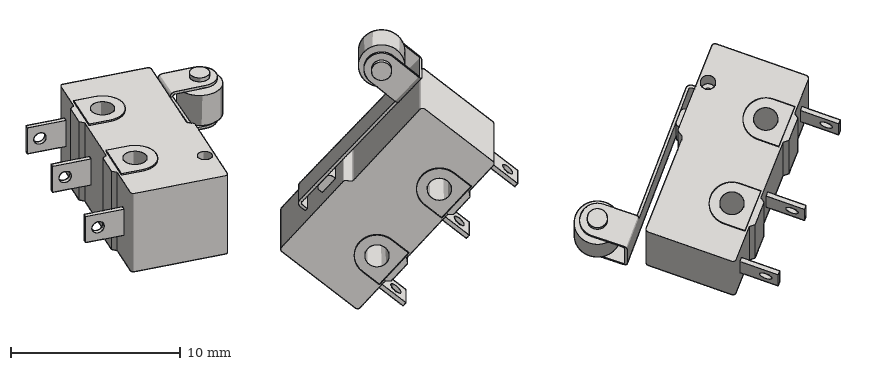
import cadquery as cq
import math


overall_length = 13.84
overall_thickness = 5.75

housing_length = 12.58
housing_thickness = 5.54
low_top = 5.69
high_top = 6.1
step_start = 6.37
step_run = 0.26
corner_radius = 0.21

mount_x_positions = (3.4, 9.1)
mount_y = 1.47
mount_hole_diameter = 1.44
pad_width = 2.7
pad_bottom = 0.14
foot_base_width = 1.97
foot_tip_width = 1.5
foot_height = 0.28

hinge_x = 10.12
hinge_y = 5.5
hinge_hole_diameter = 0.9
hinge_hole_depth = 1.38
hinge_center_diameter = 0.36
hinge_center_depth = 0.28

plunger_x = 8.04
plunger_width = 1.2
plunger_thickness = 2.41
plunger_top = 6.59
plunger_radius = 0.26

terminal_x_positions = (0.95, 5.38, 11.17)
terminal_thickness = 0.28
terminal_width = 1.84
terminal_length = 2.42
terminal_hole_diameter = 0.78
terminal_hole_drop = 1.63

roller_diameter = 2.75
roller_width = 2.12
roller_x = housing_length - overall_length + roller_diameter / 2
axle_diameter = 1.2
axle_length = 3.6

lever_tilt = 0.85
sheet = 0.18
strip_width = 2.41
bend_inner_radius = 0.14
bend_outer_radius = bend_inner_radius + sheet
strip_top = 1.31
bent_end = high_top - hinge_y - sheet
arm_width = 2.1
fork_width = strip_width + 2 * bend_outer_radius
axle_y = 3.39
tilt = math.radians(lever_tilt)
axle_x = (roller_x - hinge_x + axle_y * math.sin(tilt)) / math.cos(tilt)


def centered_extrude(outline, thickness):
    """Extrude an XY outline equally to both sides of the mid-plane."""
    return outline.extrude(thickness / 2, both=True)


def cylinder(x, y, diameter, length):
    """Cylinder along Z, centred on the mid-plane."""
    return centered_extrude(cq.Workplane("XY").center(x, y).circle(diameter / 2), length)


def round_topped_slab(x, bottom, arc_y, width, thickness):
    """Slab centred on x, with a flat bottom and a half-round top about (x, arc_y)."""
    radius = width / 2
    outline = (
        cq.Workplane("XY")
        .moveTo(x - radius, bottom)
        .lineTo(x + radius, bottom)
        .lineTo(x + radius, arc_y)
        .threePointArc((x, arc_y + radius), (x - radius, arc_y))
        .close()
    )
    return centered_extrude(outline, thickness)


def make_housing_block():
    outline = cq.Workplane("XY").polyline([
        (0, 0),
        (housing_length, 0),
        (housing_length, high_top),
        (step_start + step_run, high_top),
        (step_start, low_top),
        (0, low_top),
    ]).close()
    return centered_extrude(outline, housing_thickness).edges("|Z").fillet(corner_radius)


def make_foot(x):
    outline = cq.Workplane("XY").polyline([
        (x - foot_base_width / 2, 0),
        (x - foot_tip_width / 2, -foot_height),
        (x + foot_tip_width / 2, -foot_height),
        (x + foot_base_width / 2, 0),
    ]).close()
    return centered_extrude(outline, housing_thickness)


def make_pads(x):
    """One slab through the housing whose ends stand proud as the two pads."""
    return round_topped_slab(x, pad_bottom, mount_y, pad_width, overall_thickness)


def cut_hinge_hole(housing):
    top = cq.Workplane("XY", origin=(hinge_x, hinge_y, housing_thickness / 2))
    hole = top.circle(hinge_hole_diameter / 2).extrude(-hinge_hole_depth)
    center = top.circle(hinge_center_diameter / 2).extrude(-hinge_hole_depth - hinge_center_depth)
    return housing.cut(hole).cut(center)


def make_plunger():
    height = plunger_top - high_top
    return (
        cq.Workplane("XY")
        .box(plunger_width, height, plunger_thickness)
        .translate((plunger_x, high_top + height / 2, 0))
        .edges("|Z and >Y")
        .fillet(plunger_radius)
    )


def make_housing():
    housing = make_housing_block()
    for x in mount_x_positions:
        housing = housing.union(make_foot(x)).union(make_pads(x))
    for x in mount_x_positions:
        housing = housing.cut(cylinder(x, mount_y, mount_hole_diameter, overall_thickness))
    return cut_hinge_hole(housing).union(make_plunger())


def make_terminal(x):
    hole = (
        cq.Workplane("YZ")
        .center(-terminal_hole_drop, 0)
        .circle(terminal_hole_diameter / 2)
        .extrude(terminal_thickness, both=True)
    )
    return (
        cq.Workplane("XY")
        .box(terminal_thickness, terminal_length, terminal_width)
        .translate((0, -terminal_length / 2, 0))
        .cut(hole)
        .translate((x, 0, 0))
    )


def make_strip():
    """Flat strip with its hinge end bent down towards the hinge axis."""
    outline = (
        cq.Workplane("XY")
        .moveTo(axle_x, strip_top)
        .lineTo(sheet / 2 - bend_outer_radius, strip_top)
        .radiusArc((sheet / 2, strip_top - bend_outer_radius), bend_outer_radius)
        .lineTo(sheet / 2, bent_end)
        .lineTo(-sheet / 2, bent_end)
        .lineTo(-sheet / 2, strip_top - bend_outer_radius)
        .radiusArc((sheet / 2 - bend_outer_radius, strip_top - sheet), -bend_inner_radius)
        .lineTo(axle_x, strip_top - sheet)
        .close()
    )
    return centered_extrude(outline, strip_width)


def make_fork():
    """U-shaped channel whose arms end in a half circle round the roller axis."""
    bottom = strip_top - sheet
    top = axle_y + arm_width / 2
    height = top - bottom
    inside_width = fork_width - 2 * sheet
    channel = (
        cq.Workplane("XY")
        .box(arm_width, height, fork_width)
        .edges("|X and <Y")
        .fillet(bend_outer_radius)
    )
    inside = (
        cq.Workplane("XY")
        .box(arm_width, height, inside_width)
        .edges("|X and <Y")
        .fillet(bend_inner_radius)
        .translate((0, sheet, 0))
    )
    arms = channel.cut(inside).translate((axle_x, bottom + height / 2, 0))
    return arms.intersect(round_topped_slab(axle_x, bottom, axle_y, arm_width, fork_width))


def make_roller():
    axle = cylinder(axle_x, axle_y, axle_diameter, axle_length)
    return axle.union(cylinder(axle_x, axle_y, roller_diameter, roller_width))


def make_lever(housing):
    """Lever, axle and roller, tilted about the hinge and trimmed where the bent end meets the housing."""
    lever = make_strip().union(make_fork()).union(make_roller())
    tilted = lever.rotate((0, 0, 0), (0, 0, 1), lever_tilt).translate((hinge_x, hinge_y, 0))
    return tilted.cut(housing)


housing = make_housing()
lever = make_lever(housing)
terminals = [make_terminal(x) for x in terminal_x_positions]

result = cq.Compound.makeCompound([
    housing.val(),
    lever.val(),
    *[terminal.val() for terminal in terminals],
])